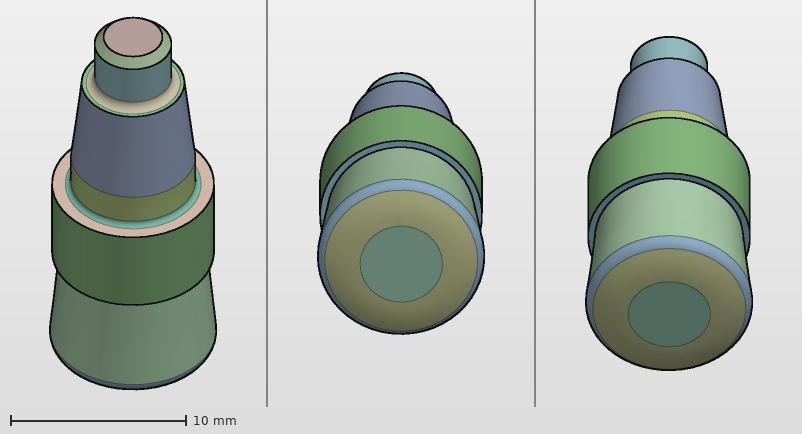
import cadquery as cq
import math

TOTAL_HEIGHT = 23.5
RIM_Z = 1.2
DOME_EDGE_Z = 0.5
COLLAR_BOTTOM_Z = 7.15
COLLAR_TOP_Z = 12.31
CONE_BOTTOM_Z = 14.43
SHOULDER_Z = 20.02

TIP_RADIUS = 4.4 / 2
COLLAR_RADIUS = 9.25 / 2
SHOULDER_RADIUS = 2.94
CONE_BOTTOM_RADIUS = 3.55
NECK_RADIUS = 3.57
GRIP_TOP_RADIUS = 4.23
RIM_RADIUS = 9.52 / 2
DOME_EDGE_RADIUS = 4.37
BOTTOM_FLAT_RADIUS = 2.35

TIP_CHAMFER = 0.52
TIP_FILLET = 0.5
NECK_FILLET = 0.3

ARC_MIDPOINT = math.sqrt(0.5)


def concave_fillet(profile, wall_radius, floor_z, size):
    """Continue the profile from the floor up onto the wall with a quarter-round fillet."""
    inset = size * (1 - ARC_MIDPOINT)
    return (
        profile.lineTo(wall_radius + size, floor_z)
        .threePointArc((wall_radius + inset, floor_z + inset), (wall_radius, floor_z + size))
    )


def revolve_about_z(profile):
    """Close a radius-height profile and revolve it around the Z axis."""
    return profile.close().revolve(360, (0, 0, 0), (0, 1, 0))


def make_plunger():
    """Collar, slightly tapered neck, tapered cone and chamfered tip."""
    profile = (
        cq.Workplane("XZ")
        .moveTo(0, COLLAR_BOTTOM_Z)
        .lineTo(COLLAR_RADIUS, COLLAR_BOTTOM_Z)
        .lineTo(COLLAR_RADIUS, COLLAR_TOP_Z)
    )
    profile = concave_fillet(profile, NECK_RADIUS, COLLAR_TOP_Z, NECK_FILLET)
    profile = (
        profile.lineTo(CONE_BOTTOM_RADIUS, CONE_BOTTOM_Z)
        .lineTo(SHOULDER_RADIUS, SHOULDER_Z)
    )
    profile = concave_fillet(profile, TIP_RADIUS, SHOULDER_Z, TIP_FILLET)
    profile = (
        profile.lineTo(TIP_RADIUS, TOTAL_HEIGHT - TIP_CHAMFER)
        .lineTo(TIP_RADIUS - TIP_CHAMFER, TOTAL_HEIGHT)
        .lineTo(0, TOTAL_HEIGHT)
    )
    return revolve_about_z(profile)


def make_grip():
    """Flared grip with a rounded rim and a shallow, flat-centred bottom dome."""
    profile = (
        cq.Workplane("XZ")
        .lineTo(BOTTOM_FLAT_RADIUS, 0)
        .tangentArcPoint((DOME_EDGE_RADIUS, DOME_EDGE_Z), relative=False)
        .tangentArcPoint((RIM_RADIUS, RIM_Z), relative=False)
        .lineTo(GRIP_TOP_RADIUS, COLLAR_BOTTOM_Z)
        .lineTo(0, COLLAR_BOTTOM_Z)
    )
    return revolve_about_z(profile)


plunger = make_plunger()
grip = make_grip()

result = cq.Compound.makeCompound([plunger.val(), grip.val()])